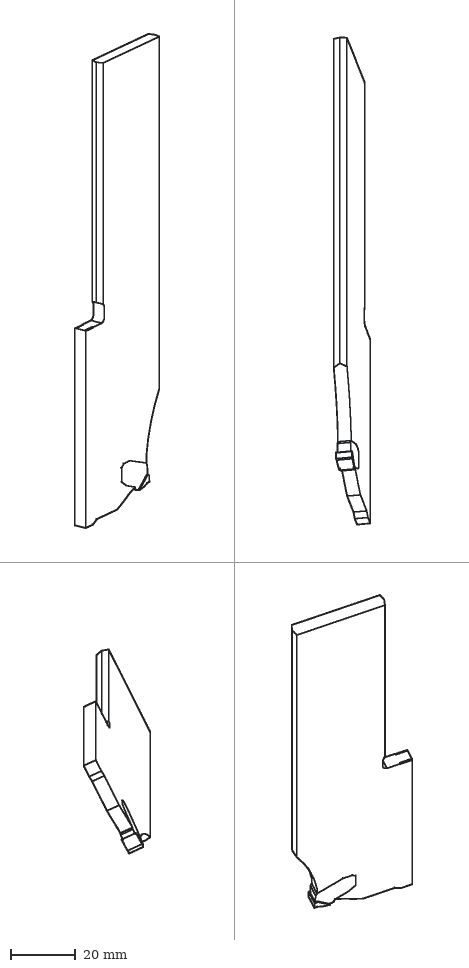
import cadquery as cq

HEIGHT = 150.0
DEPTH = 39.3
BLADE_THICKNESS = 4.2
HEAD_WIDTH = 5.0

SHANK_FRONT = 8.5
RIDGE_HEIGHT = 0.6
SHANK_BACK_BOTTOM = 35.4
RIDGE_RUNOUT = 3.0
BACK_RIDGE_BOTTOM = SHANK_BACK_BOTTOM - RIDGE_RUNOUT

SHELF_HEIGHT = 64.8
NOTCH_DEPTH = 1.4
NOTCH_CORNER = 1.8
NOTCH_RADIUS = (NOTCH_DEPTH**2 + NOTCH_CORNER**2) / (2 * NOTCH_DEPTH)
NOTCH_TOP = 71.1

BEVEL_LENGTH = 4.0
BEVEL_WIDTH = 0.5
BEVEL_DROP = 0.2

FOOT_LENGTH = 3.9
FOOT_TOE = 6.0
FOOT_HEIGHT = 1.2
FLAT_END = 16.5
SLOPE_START = (22.8, 4.5)
SLOPE_MIDDLE = (19.4, 2.5)

SEAT_TOP = (32.0, 12.0)
SEAT_BOTTOM = (26.0, 5.8)
SEAT_POINTS = [
    SEAT_TOP,
    (23.2, 15.3),
    (20.1, 15.3),
    (18.9, 14.2),
    (18.9, 9.6),
    (21.5, 7.6),
    SEAT_BOTTOM,
]

CLEARANCE_MIDDLE = (34.5, 25.4)
CLEARANCE_END = (32.0, 14.5)

HEAD_HEEL = (27.6, 4.4)
HEAD_UNDERSIDE = [(30.2, 4.8), (32.0, 5.5)]
CUTTING_TIP = (33.0, 5.5)
HEAD_BACK = (32.8, 7.8)
HEAD_INNER = (32.0, 8.1)
INSERT_TOE = (26.2, 4.8)
INSERT_NECK = (32.4, 11.1)
NECK_BOTTOM = (32.5, 7.8)


def plate(outline, thickness):
    """Extrude a closed YZ outline equally to both sides of X = 0."""
    return outline.close().extrude(thickness / 2, both=True)


def ridge_cutter(side, edge_y, inward, bottom):
    """Wedge that slopes one side of a shank edge back from its central ridge."""
    face_x = side * BLADE_THICKNESS / 2
    return (
        cq.Workplane("XY", origin=(0, 0, bottom))
        .moveTo(0, edge_y)
        .lineTo(face_x, edge_y)
        .lineTo(face_x, edge_y + inward * RIDGE_HEIGHT)
        .close()
        .extrude(HEIGHT - bottom)
    )


def bevel_cutter(side):
    """Wedge along one side edge at the front of the shelf."""
    face_x = side * BLADE_THICKNESS / 2
    return (
        cq.Workplane("XZ")
        .moveTo(face_x, SHELF_HEIGHT)
        .lineTo(face_x - side * BEVEL_WIDTH, SHELF_HEIGHT)
        .lineTo(face_x, SHELF_HEIGHT - BEVEL_DROP)
        .close()
        .extrude(-BEVEL_LENGTH)
    )


def make_blade():
    """Flat blade with an open seat for the insert."""
    notch_y = SHANK_FRONT + NOTCH_DEPTH
    outline = (
        cq.Workplane("YZ")
        .moveTo(0, 0)
        .lineTo(0, SHELF_HEIGHT)
        .lineTo(SHANK_FRONT, SHELF_HEIGHT)
        .radiusArc((notch_y, SHELF_HEIGHT + NOTCH_CORNER), -NOTCH_RADIUS)
        .lineTo(notch_y, NOTCH_TOP - NOTCH_CORNER)
        .radiusArc((SHANK_FRONT, NOTCH_TOP), -NOTCH_RADIUS)
        .lineTo(SHANK_FRONT, HEIGHT)
        .lineTo(DEPTH, HEIGHT)
        .lineTo(DEPTH, SHANK_BACK_BOTTOM)
        .threePointArc(CLEARANCE_MIDDLE, CLEARANCE_END)
    )
    for point in SEAT_POINTS:
        outline = outline.lineTo(*point)
    outline = (
        outline.lineTo(*SLOPE_START)
        .threePointArc(SLOPE_MIDDLE, (FLAT_END, FOOT_HEIGHT))
        .lineTo(FOOT_TOE, FOOT_HEIGHT)
        .lineTo(FOOT_LENGTH, 0)
    )
    blade = plate(outline, BLADE_THICKNESS)
    for side in (-1, 1):
        blade = blade.cut(ridge_cutter(side, SHANK_FRONT, 1, NOTCH_TOP - NOTCH_CORNER))
        blade = blade.cut(ridge_cutter(side, DEPTH, -1, BACK_RIDGE_BOTTOM))
        blade = blade.cut(bevel_cutter(side))
    return blade


def make_insert():
    """Cutting insert: a body flush with the blade and a wider cutting head."""
    body_points = SEAT_POINTS + [INSERT_TOE, HEAD_HEEL, HEAD_INNER, NECK_BOTTOM, INSERT_NECK]
    head_points = [HEAD_HEEL, *HEAD_UNDERSIDE, CUTTING_TIP, HEAD_BACK, NECK_BOTTOM, HEAD_INNER]
    body = plate(cq.Workplane("YZ").polyline(body_points), BLADE_THICKNESS)
    head = plate(cq.Workplane("YZ").polyline(head_points), HEAD_WIDTH)
    return body.union(head)


blade = make_blade()
insert = make_insert()

result = cq.Compound.makeCompound([blade.val(), insert.val()])